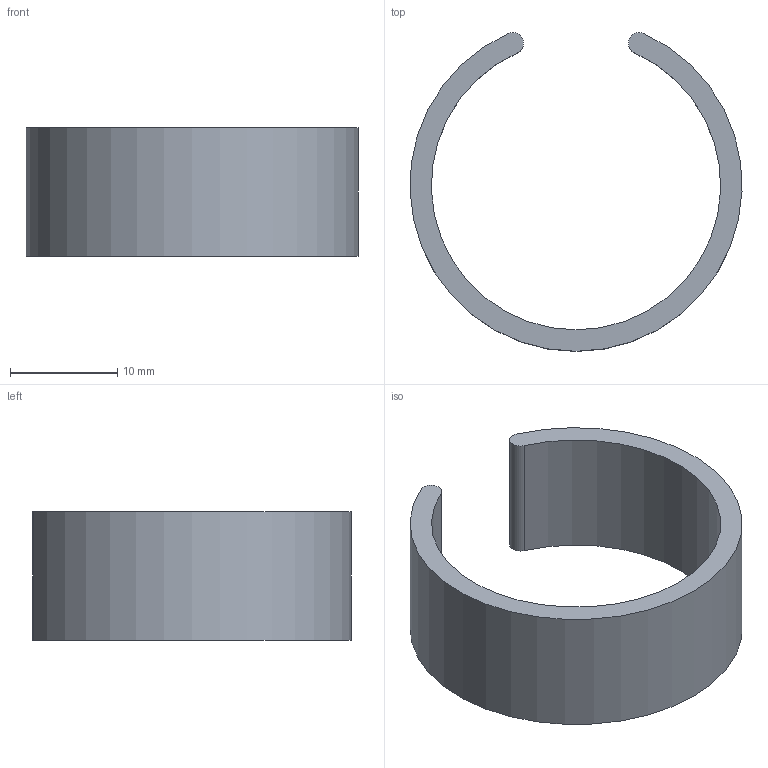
import cadquery as cq
import math

outer_radius = 15.5
wall = 2.0
height = 12.0
opening_angle = 48.0

inner_radius = outer_radius - wall
middle_radius = outer_radius - wall / 2
end_angle = opening_angle / 2


def point_on_right(radius, angle_from_y):
    """Point at a radius and an angle turned from +Y towards +X."""
    angle = math.radians(angle_from_y)
    return (radius * math.sin(angle), radius * math.cos(angle))


def mirrored(point):
    """The same point on the -X side."""
    return (-point[0], point[1])


def make_open_ring():
    """C-shaped band, open towards +Y, with full-round ends."""
    outer_end = point_on_right(outer_radius, end_angle)
    inner_end = point_on_right(inner_radius, end_angle)
    centre_x, centre_y = point_on_right(middle_radius, end_angle)

    bulge_x, bulge_y = point_on_right(wall / 2, end_angle - 90)
    cap_tip = (centre_x + bulge_x, centre_y + bulge_y)

    return (
        cq.Workplane("XY")
        .moveTo(*outer_end)
        .threePointArc((0, -outer_radius), mirrored(outer_end))
        .threePointArc(mirrored(cap_tip), mirrored(inner_end))
        .threePointArc((0, -inner_radius), inner_end)
        .threePointArc(cap_tip, outer_end)
        .close()
        .extrude(height)
    )


result = make_open_ring()